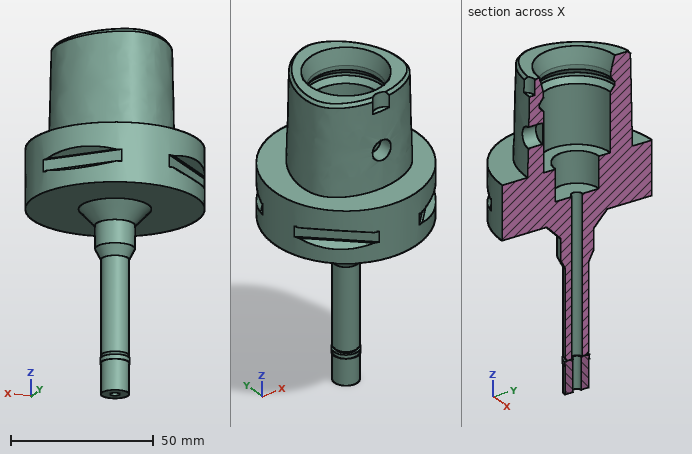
import cadquery as cq
import math

TOTAL_HEIGHT = 128.0
FLANGE_TOP = 90.1
FLANGE_BOTTOM = 68.1
NECK_CONE_END = 62.1
COLLAR_END = 53.5
SHANK_START = 49.5
CHAMFER_START = 14.2
TIP_TOP = 13.0
RING_BOTTOM = 11.4

FLANGE_RADIUS = 31.5
NECK_RADIUS = 12.8
COLLAR_RADIUS = 7.0
SHANK_RADIUS = 5.0
SHANK_END_RADIUS = 4.1

LOBE_HEIGHT = 1.3
CURVE_STEPS = 36
BASE_WIDTH = 44.3
TOP_WIDTH = 42.5
TOP_CHAMFER_HEIGHT = 1.3
TOP_CHAMFER_RUN = 1.0

MOUTH_RADIUS = 15.7
LIP_RADIUS = 14.1
GROOVE_RADIUS = 15.7
BORE_RADIUS = 14.0
LIP_TOP = 6.4
LIP_BOTTOM = 8.3
GROOVE_TOP = 10.5
GROOVE_BOTTOM = 11.8
BORE_CONE_END = 14.0
LOWER_BORE_RADIUS = 9.1
LOWER_BORE_DEPTH = 12.8
HOLDER_COOLANT_RADIUS = 2.2

NOTCH_RADIUS = 4.4
NOTCH_BACK_Y = -17.8
NOTCH_DEPTH = 6.3
SIDE_HOLE_RADIUS = 4.1
SIDE_HOLE_Z = 105.6
SIDE_HOLE_FLOOR_Y = -14.6

SLOT_COUNT = 4
SLOT_FIRST_ANGLE = 45.0
SLOT_Z = 78.0
SLOT_FLOOR_DISTANCE = 27.6
SLOT_FLARE_DISTANCE = 28.5
SLOT_FLOOR_HEIGHT = 4.4
SLOT_MOUTH_HEIGHT = 7.8

TIP_RING_RADIUS = 5.2
TIP_RADIUS = SHANK_RADIUS
TIP_COOLANT_RADIUS = 1.7


def lobed_wire(width, z):
    """Closed three-lobed curve of constant width at height z, starting on the -Y side.

    The angle is the direction of the outward normal, counted from +Y.
    """

    def point(angle):
        along = width / 2 * math.cos(angle) - LOBE_HEIGHT * (math.cos(4 * angle) - 2 * math.cos(2 * angle))
        across = width / 2 * math.sin(angle) - LOBE_HEIGHT * (math.sin(4 * angle) + 2 * math.sin(2 * angle))
        return cq.Vector(-across, along, z)

    points = [point(math.pi + 2 * math.pi * step / CURVE_STEPS) for step in range(CURVE_STEPS)]
    return cq.Wire.assembleEdges([cq.Edge.makeSpline(points, periodic=True)])


def revolved(profile):
    """Solid of revolution about Z from (radius, z) points."""
    return cq.Workplane("XZ").polyline(profile).close().revolve(360, (0, 0, 0), (0, 1, 0))


def make_polygon_shank():
    chamfer_z = TOTAL_HEIGHT - TOP_CHAMFER_HEIGHT
    base = lobed_wire(BASE_WIDTH, FLANGE_TOP)
    shoulder = lobed_wire(TOP_WIDTH, chamfer_z)
    top = lobed_wire(TOP_WIDTH - 2 * TOP_CHAMFER_RUN, TOTAL_HEIGHT)
    taper = cq.Solid.makeLoft([base, shoulder], True)
    chamfer = cq.Solid.makeLoft([shoulder, top], True)
    return cq.Workplane(taper).union(cq.Workplane(chamfer))


def make_round_body():
    return revolved(
        [
            (0, FLANGE_TOP),
            (FLANGE_RADIUS, FLANGE_TOP),
            (FLANGE_RADIUS, FLANGE_BOTTOM),
            (NECK_RADIUS, FLANGE_BOTTOM),
            (COLLAR_RADIUS, NECK_CONE_END),
            (COLLAR_RADIUS, COLLAR_END),
            (SHANK_RADIUS, SHANK_START),
            (SHANK_RADIUS, CHAMFER_START),
            (SHANK_END_RADIUS, TIP_TOP),
            (0, TIP_TOP),
        ]
    )


def make_bore():
    lower_bore_floor = FLANGE_TOP - LOWER_BORE_DEPTH
    return revolved(
        [
            (0, TOTAL_HEIGHT),
            (MOUTH_RADIUS, TOTAL_HEIGHT),
            (LIP_RADIUS, TOTAL_HEIGHT - LIP_TOP),
            (LIP_RADIUS, TOTAL_HEIGHT - LIP_BOTTOM),
            (GROOVE_RADIUS, TOTAL_HEIGHT - GROOVE_TOP),
            (GROOVE_RADIUS, TOTAL_HEIGHT - GROOVE_BOTTOM),
            (BORE_RADIUS, TOTAL_HEIGHT - BORE_CONE_END),
            (BORE_RADIUS, FLANGE_TOP),
            (LOWER_BORE_RADIUS, FLANGE_TOP),
            (LOWER_BORE_RADIUS, lower_bore_floor),
            (HOLDER_COOLANT_RADIUS, lower_bore_floor),
            (HOLDER_COOLANT_RADIUS, TIP_TOP),
            (0, TIP_TOP),
        ]
    )


def make_key_notch():
    return (
        cq.Workplane("XY", origin=(0, NOTCH_BACK_Y - NOTCH_RADIUS, TOTAL_HEIGHT))
        .circle(NOTCH_RADIUS)
        .extrude(-NOTCH_DEPTH)
    )


def make_side_hole():
    return (
        cq.Workplane("XZ", origin=(0, SIDE_HOLE_FLOOR_Y, SIDE_HOLE_Z))
        .circle(SIDE_HOLE_RADIUS)
        .extrude(FLANGE_RADIUS)
    )


def make_gripper_slot(angle):
    """Flat-bottomed slot with straight walls that flare outward, tangent to the flange at the given angle."""
    floor = SLOT_FLOOR_HEIGHT / 2
    mouth = SLOT_MOUTH_HEIGHT / 2
    return (
        cq.Workplane("XZ", origin=(0, FLANGE_RADIUS, SLOT_Z))
        .polyline(
            [
                (SLOT_FLOOR_DISTANCE, -floor),
                (SLOT_FLARE_DISTANCE, -floor),
                (FLANGE_RADIUS, -mouth),
                (FLANGE_RADIUS, mouth),
                (SLOT_FLARE_DISTANCE, floor),
                (SLOT_FLOOR_DISTANCE, floor),
            ]
        )
        .close()
        .extrude(2 * FLANGE_RADIUS)
        .rotate((0, 0, 0), (0, 0, 1), angle)
    )


def make_holder():
    holder = make_round_body().union(make_polygon_shank())
    holder = holder.cut(make_bore()).cut(make_key_notch()).cut(make_side_hole())
    for index in range(SLOT_COUNT):
        holder = holder.cut(make_gripper_slot(SLOT_FIRST_ANGLE + index * 360 / SLOT_COUNT))
    return holder


def make_tip():
    return revolved(
        [
            (TIP_COOLANT_RADIUS, TIP_TOP),
            (TIP_RING_RADIUS, TIP_TOP),
            (TIP_RING_RADIUS, RING_BOTTOM),
            (TIP_RADIUS, RING_BOTTOM),
            (TIP_RADIUS, 0),
            (TIP_COOLANT_RADIUS, 0),
        ]
    )


holder = make_holder()
tip = make_tip()
result = cq.Compound.makeCompound([holder.solids().val(), tip.val()])